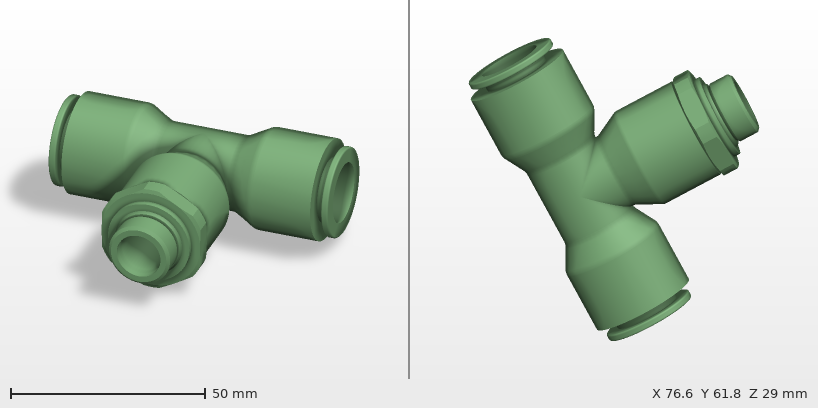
import cadquery as cq
import math

BODY_RADIUS = 13.5
NECK_RADIUS = 10.0
PORT_BODY_END = 34.1
STEM_BODY_END = 34.0
SHOULDER = 17.95

PORT_TAPER_ANGLE = 28.5
PORT_NECK_BLEND = 3.0
PORT_SHOULDER_BLEND = 3.0
STEM_TAPER_ANGLE = 27.0
STEM_NECK_BLEND = 2.5
STEM_SHOULDER_BLEND = 2.0

COLLAR_END = 38.3
COLLAR_FLANGE_RADIUS = 12.0
COLLAR_FLANGE_WIDTH = 1.85
COLLAR_EDGE_ROUND = 0.45
COLLAR_SLEEVE_RADIUS = 8.6
TUBE_BORE_RADIUS = 8.0

HEX_FLATS = 27.0
HEX_CORNER_RADIUS = 14.5
HEX_START = 34.4
HEX_END = 39.2
HEX_CHAMFER_HEIGHT = 0.4

WASHER_RADIUS = 11.15
WASHER_END = 40.85
CONE_LARGE_RADIUS = 9.2
CONE_SMALL_RADIUS = 8.7
CONE_END = 41.68

THREAD_RADIUS = 8.4
THREAD_ROOT_RADIUS = 7.6
THREAD_CHAMFER_LENGTH = 0.75
STEM_END = 48.3
STEM_BORE_RADIUS = 6.0


def cylinder(radius, start, end):
    """Cylinder on the Z axis between two heights."""
    return cq.Workplane("XY").workplane(offset=start).circle(radius).extrude(end - start)


def aim_along_x(shape, direction):
    """Turn a shape built along +Z to point along +X (direction 1) or -X (direction -1)."""
    return shape.rotate((0, 0, 0), (0, 1, 0), 90 * direction)


def aim_along_minus_y(shape):
    """Turn a shape built along +Z to point along -Y."""
    return shape.rotate((0, 0, 0), (1, 0, 0), 90)


def leg_body(taper_angle, neck_blend, shoulder_blend, body_end):
    """Neck, blended taper and full-size barrel, revolved about Z from the origin."""
    angle = math.radians(taper_angle)
    taper_length = (BODY_RADIUS - NECK_RADIUS) / math.tan(angle)
    blend_length = (neck_blend + shoulder_blend) * math.tan(angle / 2)
    neck_end = SHOULDER - taper_length - blend_length

    def on_neck_blend(turn):
        radius = NECK_RADIUS + neck_blend * (1 - math.cos(turn))
        return (radius, neck_end + neck_blend * math.sin(turn))

    def on_shoulder_blend(turn):
        radius = BODY_RADIUS - shoulder_blend * (1 - math.cos(turn))
        return (radius, SHOULDER - shoulder_blend * math.sin(turn))

    profile = (
        cq.Workplane("YZ")
        .lineTo(NECK_RADIUS, 0)
        .lineTo(NECK_RADIUS, neck_end)
        .threePointArc(on_neck_blend(angle / 2), on_neck_blend(angle))
        .lineTo(*on_shoulder_blend(angle))
        .threePointArc(on_shoulder_blend(angle / 2), (BODY_RADIUS, SHOULDER))
        .lineTo(BODY_RADIUS, body_end)
        .lineTo(0, body_end)
        .close()
    )
    return profile.revolve(360, (0, 0, 0), (0, 1, 0))


def release_collar():
    """Sleeve and rounded push flange standing out of a tube port."""
    flange_start = COLLAR_END - COLLAR_FLANGE_WIDTH
    sleeve = cylinder(COLLAR_SLEEVE_RADIUS, SHOULDER, flange_start)
    flange = cylinder(COLLAR_FLANGE_RADIUS, flange_start, COLLAR_END)
    flange = flange.faces("<Z or >Z").edges().fillet(COLLAR_EDGE_ROUND)
    return sleeve.union(flange)


def hex_nut():
    """Hexagon with turned-down corners and chamfered faces, two of its flats facing +X and -X."""
    across_corners = HEX_FLATS / math.cos(math.radians(30))
    hexagon = (
        cq.Workplane("XY")
        .workplane(offset=HEX_START)
        .polygon(6, across_corners)
        .extrude(HEX_END - HEX_START)
        .rotate((0, 0, 0), (0, 0, 1), 30)
    )
    chamfer_width = HEX_CORNER_RADIUS - HEX_FLATS / 2
    blank = cylinder(HEX_CORNER_RADIUS, HEX_START, HEX_END)
    blank = blank.faces("<Z or >Z").edges().chamfer(HEX_CHAMFER_HEIGHT, chamfer_width)
    return hexagon.intersect(blank)


def threaded_end():
    """Washer, retaining cone and chamfered thread below the nut, as one turned profile."""
    profile = (
        cq.Workplane("XZ")
        .moveTo(0, HEX_END)
        .lineTo(WASHER_RADIUS, HEX_END)
        .lineTo(WASHER_RADIUS, WASHER_END)
        .lineTo(CONE_LARGE_RADIUS, WASHER_END)
        .lineTo(CONE_SMALL_RADIUS, CONE_END)
        .lineTo(THREAD_ROOT_RADIUS, CONE_END)
        .lineTo(THREAD_RADIUS, CONE_END + THREAD_CHAMFER_LENGTH)
        .lineTo(THREAD_RADIUS, STEM_END - THREAD_CHAMFER_LENGTH)
        .lineTo(THREAD_ROOT_RADIUS, STEM_END)
        .lineTo(0, STEM_END)
        .close()
    )
    return profile.revolve(360, (0, 0, 0), (0, 1, 0))


def tube_port():
    """One push-in leg of the tee with its release collar."""
    body = leg_body(PORT_TAPER_ANGLE, PORT_NECK_BLEND, PORT_SHOULDER_BLEND, PORT_BODY_END)
    return body.union(release_collar())


def stem():
    """Threaded leg of the tee with its nut, joined to the barrel by a short neck."""
    body = leg_body(STEM_TAPER_ANGLE, STEM_NECK_BLEND, STEM_SHOULDER_BLEND, STEM_BODY_END)
    nut_neck = cylinder(NECK_RADIUS, STEM_BODY_END, HEX_START)
    return body.union(nut_neck).union(hex_nut()).union(threaded_end())


tube_bore = aim_along_x(cylinder(TUBE_BORE_RADIUS, -COLLAR_END, COLLAR_END), 1)
stem_bore = aim_along_minus_y(cylinder(STEM_BORE_RADIUS, 0, STEM_END))

right_port = aim_along_x(tube_port(), 1)
left_port = aim_along_x(tube_port(), -1)
front_stem = aim_along_minus_y(stem())
result = right_port.union(left_port).union(front_stem).cut(tube_bore).cut(stem_bore)